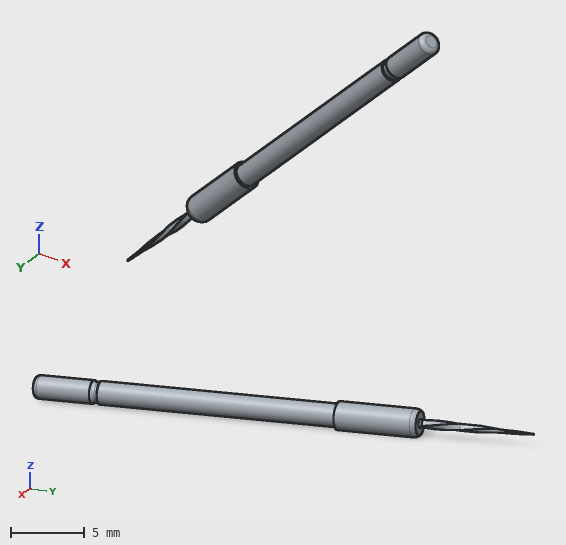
import cadquery as cq
import math

total_length = 36.3
retaining_groove_start = 4.2
retaining_groove_floor_start = 4.55
retaining_groove_end = 4.75
collar_start = 22.1
collar_end = 28.02
stub_end = 28.25

shank_diameter = 1.65
retaining_groove_diameter = 1.4
collar_diameter = 2.0
stub_diameter = 0.6

shank_end_rounding = 0.35
collar_nose_length = 0.4
collar_nose_face_diameter = 1.67

taper_start = 31.05
file_diameter = stub_diameter
file_tip_diameter = 0.07
quarter_turn_length = 2.98
first_corner_turn = 0.8
sections_per_quarter_turn = 8


def make_round_body():
    shank_radius = shank_diameter / 2
    groove_radius = retaining_groove_diameter / 2
    collar_radius = collar_diameter / 2
    stub_radius = stub_diameter / 2

    groove_depth = shank_radius - groove_radius
    runout_length = retaining_groove_floor_start - retaining_groove_start
    runout_radius = (runout_length**2 + groove_depth**2) / (2 * groove_depth)
    half_runout = runout_length / 2
    runout_middle = (
        groove_radius + runout_radius - math.sqrt(runout_radius**2 - half_runout**2),
        retaining_groove_floor_start - half_runout,
    )

    rounding_rise = math.sqrt(0.5)
    shank_arc_middle = (
        shank_radius - shank_end_rounding * (1 - rounding_rise),
        shank_end_rounding * (1 - rounding_rise),
    )
    nose_face_radius = collar_nose_face_diameter / 2
    nose_start = collar_end - collar_nose_length
    nose_drop = collar_radius - nose_face_radius
    nose_arc_radius = (collar_nose_length**2 + nose_drop**2) / (2 * nose_drop)
    half_nose = collar_nose_length / 2
    nose_arc_middle = (
        collar_radius - nose_arc_radius + math.sqrt(nose_arc_radius**2 - half_nose**2),
        nose_start + half_nose,
    )

    half_profile = (
        cq.Workplane("XY")
        .lineTo(shank_radius - shank_end_rounding, 0)
        .threePointArc(shank_arc_middle, (shank_radius, shank_end_rounding))
        .lineTo(shank_radius, retaining_groove_start)
        .threePointArc(runout_middle, (groove_radius, retaining_groove_floor_start))
        .lineTo(groove_radius, retaining_groove_end)
        .lineTo(shank_radius, retaining_groove_end)
        .lineTo(shank_radius, collar_start)
        .lineTo(collar_radius, collar_start)
        .lineTo(collar_radius, nose_start)
        .threePointArc(nose_arc_middle, (nose_face_radius, collar_end))
        .lineTo(stub_radius, collar_end)
        .lineTo(stub_radius, stub_end)
        .lineTo(0, stub_end)
        .close()
    )
    return half_profile.revolve(360, (0, 0), (0, 1))


def square_section(station, diameter):
    """Square wire across the axis, turned by the twist reached at this station."""
    corners = []
    for corner in range(4):
        quarter_turns = corner + first_corner_turn + (station - stub_end) / quarter_turn_length
        angle = math.radians(90) * quarter_turns
        corners.append(cq.Vector(
            diameter / 2 * math.cos(angle),
            station,
            diameter / 2 * math.sin(angle),
        ))
    return cq.Wire.makePolygon(corners, close=True)


def make_twisted_bar(start, end, start_diameter, end_diameter):
    length = end - start
    interval_count = math.ceil(length / quarter_turn_length * sections_per_quarter_turn)
    sections = []
    for index in range(interval_count + 1):
        fraction = index / interval_count
        diameter = start_diameter + (end_diameter - start_diameter) * fraction
        sections.append(square_section(start + length * fraction, diameter))
    return cq.Workplane(obj=cq.Solid.makeLoft(sections))


parallel_file = make_twisted_bar(stub_end, taper_start, file_diameter, file_diameter)
tapered_file = make_twisted_bar(taper_start, total_length, file_diameter, file_tip_diameter)

result = make_round_body().union(parallel_file).union(tapered_file)